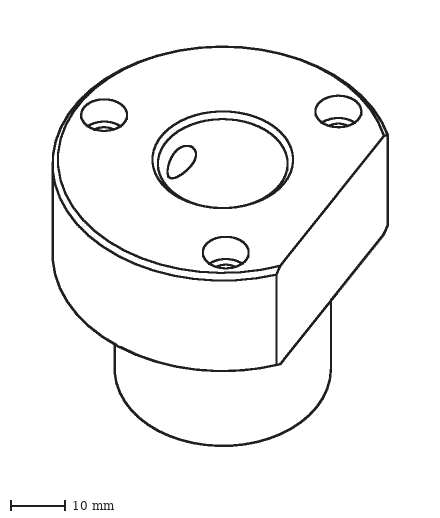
import cadquery as cq
import math

flange_diameter = 62.95
flange_radius = flange_diameter / 2
flange_height = 25.0
flat_offset = 23.05
flange_chamfer = 1.0

total_height = 55.0
spigot_radius = 20.0
spigot_height = total_height - flange_height
spigot_fillet = 2.0
relief_radius = 19.3
relief_height = 1.4
relief_taper_height = 0.7

bore_diameter = 24.0
bore_chamfer = 1.0

bolt_circle_radius = 25.0
bolt_angles = (60, 180, 300)
bolt_hole_diameter = 5.5
counterbore_diameter = 8.5
counterbore_depth = 5.65

side_hole_diameter = 7.0
side_hole_drop = 9.0
side_hole_angle = 160


def make_flange():
    disc = (
        cq.Workplane("XY", origin=(0, 0, spigot_height))
        .circle(flange_radius)
        .extrude(flange_height)
        .faces("<Z or >Z")
        .chamfer(flange_chamfer)
    )
    kept_side = cq.Workplane("XY").box(
        flange_radius + flat_offset, flange_diameter, total_height, centered=(False, True, False)
    )
    return disc.intersect(kept_side.translate((-flange_radius, 0, 0)))


def make_spigot():
    relief_bottom = spigot_height - relief_height
    shoulder = relief_bottom - relief_taper_height
    profile = (
        cq.Workplane("XZ")
        .lineTo(spigot_radius, 0)
        .lineTo(spigot_radius, shoulder)
        .lineTo(relief_radius, relief_bottom)
        .lineTo(relief_radius, spigot_height)
        .lineTo(0, spigot_height)
        .close()
    )
    return profile.revolve(360, (0, 0, 0), (0, 1, 0)).faces("<Z").edges().fillet(spigot_fillet)


def cut_bore(body):
    bore = cq.Workplane("XY").circle(bore_diameter / 2).extrude(total_height)
    mouth = (
        cq.Workplane("XY", origin=(0, 0, total_height - bore_chamfer))
        .circle(bore_diameter / 2)
        .workplane(offset=bore_chamfer)
        .circle(bore_diameter / 2 + bore_chamfer)
        .loft()
    )
    return body.cut(bore).cut(mouth)


def cut_bolt_holes(body):
    centers = [
        (
            bolt_circle_radius * math.cos(math.radians(angle)),
            bolt_circle_radius * math.sin(math.radians(angle)),
        )
        for angle in bolt_angles
    ]
    return (
        body.faces(">Z")
        .workplane(origin=(0, 0, total_height))
        .pushPoints(centers)
        .cboreHole(bolt_hole_diameter, counterbore_diameter, counterbore_depth)
    )


def cut_side_hole(body):
    hole = (
        cq.Workplane("YZ")
        .center(0, total_height - side_hole_drop)
        .circle(side_hole_diameter / 2)
        .extrude(flange_radius)
        .rotate((0, 0, 0), (0, 0, 1), side_hole_angle)
    )
    return body.cut(hole)


result = make_flange().union(make_spigot())
result = cut_bore(result)
result = cut_bolt_holes(result)
result = cut_side_hole(result)